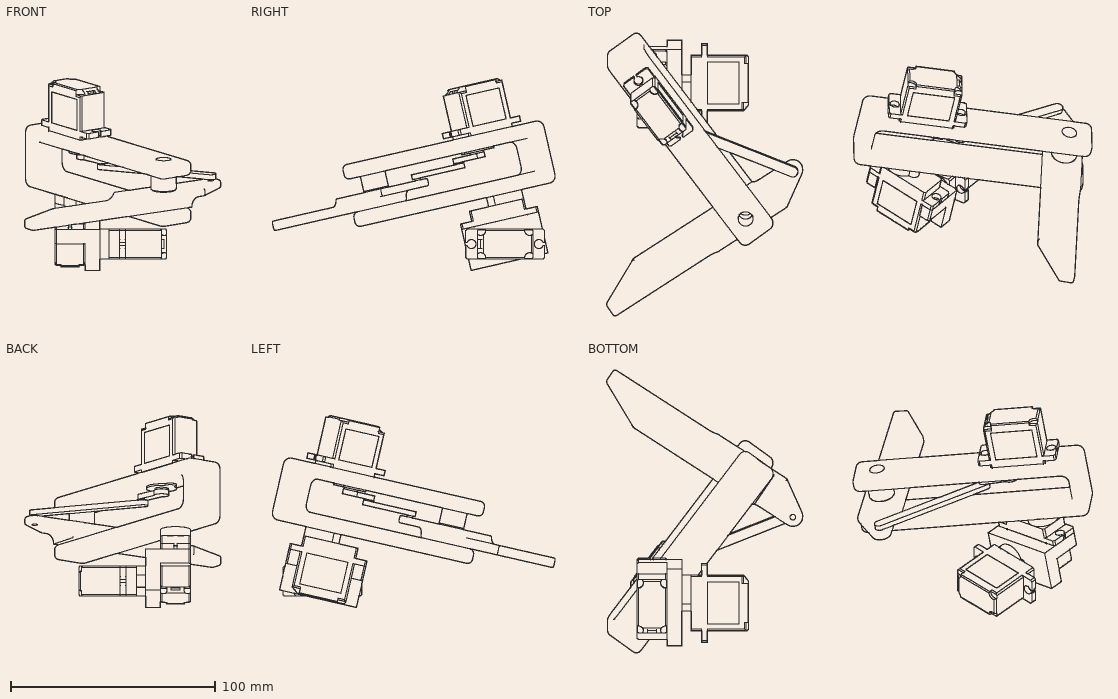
import cadquery as cq
import math


SWING_ANGLE = 12.9
FORK_ANGLE = -53.5
FINGER_ANGLE = 33.5
HORN_ANGLE = -47.0

SERVO_LENGTH = 27.3
SERVO_WIDTH = 14.8
SERVO_HEIGHT = 28.1
SERVO_EDGE = 0.8
COLLAR_LENGTH = 4.6
COLLAR_RADIUS = SERVO_WIDTH / 2
SERVO_CENTER = COLLAR_RADIUS - SERVO_LENGTH / 2
BOSS_RADIUS = 3.0
BOSS_OFFSET = 7.2
SHAFT_RADIUS = 3.3
SHAFT_LENGTH = 0.8
TAB_SPAN = 38.7
TAB_THICKNESS = 2.8
TAB_DROP = 5.1
TAB_HOLE_RADIUS = 2.2
TAB_SLOT = 1.5
BACK_SIDE_INSET = 0.4
BACK_BEVEL_HEIGHT = 2.5
BACK_BEVEL_LENGTH = 3.0
SCREW_RADIUS = 2.5
SCREW_INSET_X = 1.7
SCREW_INSET_Y = 0.7
SCREW_DEPTH = 1.2
CABLE_WIDTH = 4.3
CABLE_HEIGHT = 1.2
CABLE_DEPTH = 1.1
LABEL_LENGTH = 20.7
LABEL_HEIGHT = 15.5
LABEL_DEPTH = 0.1
SERVO_TOP = -COLLAR_LENGTH
TAB_BOTTOM = SERVO_TOP - TAB_DROP - TAB_THICKNESS
SERVO_BACK = SERVO_TOP - SERVO_HEIGHT

BRACKET_THICKNESS = 7.2
BRACKET_SPAN = 38.7
BRACKET_HEIGHT = 20.7
BRACKET_TOP = BRACKET_HEIGHT / 2
TURN_AXIS_Y = -2 * SERVO_CENTER

LEG_THICKNESS = 7.3
FORK_GAP = 16.5
FORK_WIDTH = 19.4
FORK_FRONT = 88.7
FORK_BACK = -25.2
FORK_CORNER = 3.7
FORK_EDGE = 2.5
FORK_FRONT_CORNER = 3.3
FORK_BOTTOM = BRACKET_TOP - TAB_BOTTOM
LOWER_LEG_TOP = FORK_BOTTOM + LEG_THICKNESS
UPPER_LEG_BOTTOM = LOWER_LEG_TOP + FORK_GAP
FORK_TOP = UPPER_LEG_BOTTOM + LEG_THICKNESS
PIVOT_X = 77.1
PIVOT_BOSS_RADIUS = 6.2
PIVOT_BOSS_EDGE = 0.5
PIVOT_HOLE_RADIUS = 3.6
FORK_SERVO_X = 12.0
FORK_SERVO_Y = -0.4
FORK_SERVO_DROP = 0.8
COLLAR_END = UPPER_LEG_BOTTOM - FORK_SERVO_DROP

FINGER_THICKNESS = 8.5
FINGER_HALF_WIDTH = 9.4
FINGER_EDGE = 1.0
TIP_X = -83.3
TIP_WIDTH = 7.2
TIP_BEVEL_X = -59.6
TIP_THICKNESS = 4.9
TIP_CORNER = 1.4
TIP_STEP_X = -28.1
TIP_STEP_RADIUS = 5.0
TAIL_BEVEL_X = 18.0
TAIL_RADIUS = 4.9
TAIL_PIN_X = 30.8
TAIL_THICKNESS = 3.7
TAIL_STEP_X = 11.0
TAIL_STEP_RADIUS = 4.0
FINGER_BOTTOM = LOWER_LEG_TOP
FINGER_TOP = FINGER_BOTTOM + FINGER_THICKNESS
TAIL_PIN_Y = FINGER_HALF_WIDTH - TAIL_RADIUS

BAR_THICKNESS = 2.5
BAR_RADIUS = 2.5
HORN_LENGTH = 13.3
HORN_HUB_RADIUS = 3.6
HORN_LINK_GAP = 0.5
HORN_TOP = COLLAR_END - SHAFT_LENGTH
HORN_BOTTOM = HORN_TOP - BAR_THICKNESS
LINK_TOP = HORN_BOTTOM - HORN_LINK_GAP
LINK_BOTTOM = LINK_TOP - BAR_THICKNESS
PIN_RADIUS = 1.4

UP = (0, 0, 1)
DOWN = (0, 0, -1)


def box(x_range, y_range, z_range):
    """A box between the given limits."""
    sizes = [high - low for low, high in (x_range, y_range, z_range)]
    return cq.Workplane().box(*sizes, centered=False).translate((x_range[0], y_range[0], z_range[0]))


def cylinder(x, y, radius, bottom, top):
    """An upright cylinder."""
    return cq.Workplane().workplane(offset=bottom).center(x, y).circle(radius).extrude(top - bottom)


def turned(point, angle):
    """The point turned about the origin."""
    c = math.cos(math.radians(angle))
    s = math.sin(math.radians(angle))
    return (point[0] * c - point[1] * s, point[0] * s + point[1] * c)


def placed(body, origin, x_direction, normal):
    """The body moved into the given frame."""
    location = cq.Location(cq.Plane(origin=origin, xDir=x_direction, normal=normal))
    return cq.Workplane(body.val().moved(location))


def swung(body):
    """The body turned about the swing axis."""
    return body.rotate((0, 0, 0), (1, 0, 0), SWING_ANGLE)


def servo_tabs():
    """The mounting plate with an open screw hole at each end."""
    tabs = (
        cq.Workplane()
        .workplane(offset=TAB_BOTTOM)
        .center(SERVO_CENTER, 0)
        .rect(TAB_SPAN, SERVO_WIDTH)
        .extrude(TAB_THICKNESS)
        .edges("|Z")
        .chamfer(SERVO_EDGE)
    )
    z_range = (TAB_BOTTOM, TAB_BOTTOM + TAB_THICKNESS)
    for side in (-1, 1):
        hole_x = SERVO_CENTER + side * (TAB_SPAN + SERVO_LENGTH) / 4
        end_x = SERVO_CENTER + side * TAB_SPAN / 2
        tabs = tabs.cut(cylinder(hole_x, 0, TAB_HOLE_RADIUS, *z_range))
        tabs = tabs.cut(box(sorted((hole_x, end_x)), (-TAB_SLOT / 2, TAB_SLOT / 2), z_range))
    return tabs


def servo_case():
    """The case, with a beveled back edge, screw wells in the back corners and a cable opening."""
    shaft_end = SERVO_CENTER + SERVO_LENGTH / 2
    far_end = SERVO_CENTER - SERVO_LENGTH / 2
    case = (
        cq.Workplane()
        .workplane(offset=SERVO_BACK)
        .center(SERVO_CENTER, 0)
        .rect(SERVO_LENGTH, SERVO_WIDTH)
        .extrude(SERVO_HEIGHT)
        .edges("|Z")
        .chamfer(SERVO_EDGE)
        .faces("<Z")
        .edges("|Y and <X")
        .chamfer(SERVO_EDGE)
    )
    bevel = (
        cq.Workplane("XZ", origin=(0, SERVO_WIDTH / 2, 0))
        .moveTo(shaft_end, SERVO_BACK)
        .lineTo(shaft_end - BACK_BEVEL_LENGTH, SERVO_BACK)
        .lineTo(shaft_end, SERVO_BACK + BACK_BEVEL_HEIGHT)
        .close()
        .extrude(SERVO_WIDTH)
    )
    case = case.cut(bevel)
    well_y = SERVO_WIDTH / 2 - SCREW_INSET_Y
    wells = (
        (shaft_end - SCREW_INSET_X, BACK_BEVEL_HEIGHT),
        (far_end + SCREW_INSET_X, SCREW_DEPTH),
    )
    for well_x, depth in wells:
        for y in (-well_y, well_y):
            case = case.cut(cylinder(well_x, y, SCREW_RADIUS, SERVO_BACK, SERVO_BACK + depth))
    back_region = cq.selectors.BoxSelector(
        (far_end, -SERVO_WIDTH, SERVO_BACK - SERVO_EDGE),
        (shaft_end, SERVO_WIDTH, SERVO_BACK + BACK_BEVEL_HEIGHT + SERVO_EDGE),
    )
    side_edges = case.faces("<Y or >Y").edges("|X").edges(back_region)
    case = side_edges.chamfer(SERVO_EDGE, BACK_SIDE_INSET)
    cable_z = SERVO_BACK + BACK_BEVEL_HEIGHT
    cable = box(
        (shaft_end - BACK_BEVEL_LENGTH / 2 - CABLE_DEPTH, shaft_end),
        (-CABLE_WIDTH / 2, CABLE_WIDTH / 2),
        (cable_z - CABLE_HEIGHT, cable_z),
    )
    return case.cut(cable)


def make_servo():
    """A complete servo in its own frame."""
    servo = servo_case().union(servo_tabs())
    servo = servo.union(cylinder(0, 0, COLLAR_RADIUS, SERVO_TOP, 0))
    servo = servo.union(cylinder(-BOSS_OFFSET, 0, BOSS_RADIUS, SERVO_TOP, 0))
    servo = servo.union(cylinder(0, 0, SHAFT_RADIUS, 0, SHAFT_LENGTH))
    half_width = SERVO_WIDTH / 2
    for y_range in ((half_width - LABEL_DEPTH, half_width), (-half_width, LABEL_DEPTH - half_width)):
        label = box(
            (SERVO_CENTER - LABEL_LENGTH / 2, SERVO_CENTER + LABEL_LENGTH / 2),
            y_range,
            (TAB_BOTTOM - LABEL_HEIGHT, TAB_BOTTOM),
        )
        servo = servo.cut(label)
    return servo


def make_bracket(swing_servo):
    """A plate on the swing axis with two arms beside the turning servo."""
    half_servo = SERVO_WIDTH / 2
    middle = TURN_AXIS_Y + SERVO_CENTER
    y_range = (middle - BRACKET_SPAN / 2, middle + BRACKET_SPAN / 2)
    plate = box((half_servo, half_servo + BRACKET_THICKNESS), y_range, (-BRACKET_TOP, BRACKET_TOP))
    arms = box((-half_servo, half_servo), y_range, (BRACKET_TOP - BRACKET_THICKNESS, BRACKET_TOP))
    arms = arms.edges("|Z and <X").chamfer(SERVO_EDGE)
    opening = box(
        (-half_servo, half_servo),
        (middle - SERVO_LENGTH / 2, middle + SERVO_LENGTH / 2),
        (-BRACKET_TOP, BRACKET_TOP),
    )
    return plate.union(arms.cut(opening)).cut(swing_servo)


def make_fork(turn_servo, fork_servo):
    """A U of two legs with a pivot boss under the upper leg, seated on and around the servos."""
    y = FORK_WIDTH / 2
    fork = box((FORK_BACK, FORK_FRONT), (-y, y), (FORK_BOTTOM, FORK_TOP))
    fork = fork.edges("|Y and <X").fillet(FORK_CORNER)
    fork = fork.edges("|Z and >X").fillet(FORK_FRONT_CORNER)
    gap = box((FORK_BACK + LEG_THICKNESS, FORK_FRONT), (-y, y), (LOWER_LEG_TOP, UPPER_LEG_BOTTOM))
    gap = gap.edges("|Y and <X").fillet(FORK_CORNER)
    fork = fork.cut(gap)
    fork = fork.faces("<Y or >Y").edges().fillet(FORK_EDGE)
    boss = cylinder(PIVOT_X, 0, PIVOT_BOSS_RADIUS, FINGER_TOP, UPPER_LEG_BOTTOM)
    fork = fork.union(boss.faces("<Z").chamfer(PIVOT_BOSS_EDGE))
    fork = fork.cut(cylinder(PIVOT_X, 0, PIVOT_HOLE_RADIUS, FINGER_TOP, FORK_TOP))
    return fork.cut(turn_servo).cut(fork_servo)


def finger_outline():
    """The plan of the finger: beveled tip, straight sides and a round tail about the link pin."""
    w = FINGER_HALF_WIDTH
    reach_x = TAIL_PIN_X - TAIL_BEVEL_X
    reach_y = TAIL_PIN_Y + w
    reach = math.hypot(reach_x, reach_y)
    tangent = math.atan2(reach_y, reach_x) - math.asin(TAIL_RADIUS / reach)
    start = tangent - math.pi / 2
    middle = (start + math.pi / 2) / 2

    def tail_point(angle):
        return (TAIL_PIN_X + TAIL_RADIUS * math.cos(angle), TAIL_PIN_Y + TAIL_RADIUS * math.sin(angle))

    return (
        cq.Workplane()
        .workplane(offset=FINGER_BOTTOM)
        .moveTo(TIP_X, -w)
        .lineTo(TAIL_BEVEL_X, -w)
        .lineTo(*tail_point(start))
        .threePointArc(tail_point(middle), (TAIL_PIN_X, w))
        .lineTo(TIP_BEVEL_X, w)
        .lineTo(TIP_X, TIP_WIDTH - w)
        .close()
    )


def rim_edges(finger):
    """The edges all round the upper and lower faces, and the upper edge of the tip step."""
    lengthwise = finger.edges("not (|Y or |Z)").vals()
    tip_end = finger.edges("|Y and <X").vals()
    step_top = finger.edges("|Y and >Z").vals()
    return lengthwise + tip_end + step_top


def make_finger():
    """A plate stepped down on top toward the tip and cut away below the tail."""
    w = FINGER_HALF_WIDTH
    finger = finger_outline().extrude(FINGER_THICKNESS)
    finger = finger.edges("|Z and <X").fillet(TIP_CORNER)
    tip_top = FINGER_BOTTOM + TIP_THICKNESS
    rise = FINGER_TOP - tip_top
    run = math.sqrt(TIP_STEP_RADIUS**2 - (TIP_STEP_RADIUS - rise) ** 2)
    half_sweep = math.asin(run / TIP_STEP_RADIUS) / 2
    tip_step = (
        cq.Workplane("XZ", origin=(0, w, 0))
        .moveTo(TIP_STEP_X, tip_top)
        .threePointArc(
            (
                TIP_STEP_X + TIP_STEP_RADIUS * math.sin(half_sweep),
                tip_top + TIP_STEP_RADIUS * (1 - math.cos(half_sweep)),
            ),
            (TIP_STEP_X + run, FINGER_TOP),
        )
        .lineTo(TIP_X, FINGER_TOP)
        .lineTo(TIP_X, tip_top)
        .close()
        .extrude(2 * w)
    )
    tail_step = box(
        (TAIL_STEP_X, TAIL_PIN_X + TAIL_RADIUS), (-w, w), (FINGER_BOTTOM, FINGER_TOP - TAIL_THICKNESS)
    )
    tail_step = tail_step.edges("|Y and <X and >Z").fillet(TAIL_STEP_RADIUS)
    finger = finger.cut(tip_step).cut(tail_step)
    finger = finger.newObject(rim_edges(finger)).fillet(FINGER_EDGE)
    finger = finger.cut(cylinder(0, 0, PIVOT_HOLE_RADIUS, FINGER_BOTTOM, FINGER_TOP))
    return finger.cut(cylinder(TAIL_PIN_X, TAIL_PIN_Y, PIN_RADIUS, FINGER_TOP - TAIL_THICKNESS, FINGER_TOP))


def bar(start, end, bottom):
    """A flat bar with round ends between two points."""
    length = math.dist(start, end)
    angle = math.degrees(math.atan2(end[1] - start[1], end[0] - start[0]))
    return (
        cq.Workplane()
        .workplane(offset=bottom)
        .center((start[0] + end[0]) / 2, (start[1] + end[1]) / 2)
        .slot2D(length + 2 * BAR_RADIUS, 2 * BAR_RADIUS, angle)
        .extrude(BAR_THICKNESS)
    )


def make_horn(hub, joint):
    """The lever on the fork servo, with a hole for the link."""
    horn = bar(hub, joint, HORN_BOTTOM)
    horn = horn.union(cylinder(*hub, HORN_HUB_RADIUS, HORN_BOTTOM, HORN_TOP))
    return horn.cut(cylinder(*joint, PIN_RADIUS, HORN_BOTTOM, HORN_TOP))


def make_link(joint, tail):
    """The bar from horn to finger, with a pin up into the horn and a pin down into the finger."""
    link = bar(joint, tail, LINK_BOTTOM)
    link = link.union(cylinder(*joint, PIN_RADIUS, LINK_TOP, HORN_TOP))
    return link.union(cylinder(*tail, PIN_RADIUS, FINGER_TOP - TAIL_THICKNESS, LINK_BOTTOM))


turn_axis = (0, TURN_AXIS_Y)
fork_x = (*turned((1, 0), FORK_ANGLE), 0)
pivot = turned((PIVOT_X, 0), FORK_ANGLE)
pivot = (pivot[0], pivot[1] + TURN_AXIS_Y)
hub = turned((FORK_SERVO_X, FORK_SERVO_Y), FORK_ANGLE)
hub = (hub[0], hub[1] + TURN_AXIS_Y)
horn_arm = turned((HORN_LENGTH, 0), HORN_ANGLE)
joint = (hub[0] + horn_arm[0], hub[1] + horn_arm[1])
tail = turned((TAIL_PIN_X, TAIL_PIN_Y), FINGER_ANGLE)
tail = (pivot[0] + tail[0], pivot[1] + tail[1])

plate_outside = SERVO_WIDTH / 2 + BRACKET_THICKNESS
servo = make_servo()
swing_servo = placed(servo, (plate_outside, 0, 0), (0, -1, 0), (-1, 0, 0))
turn_servo = placed(servo, (*turn_axis, FORK_BOTTOM), (0, 1, 0), UP)
fork_servo = placed(servo, (*hub, COLLAR_END), fork_x, DOWN)

bracket = make_bracket(swing_servo)
fork = make_fork(
    placed(servo, (0, 0, FORK_BOTTOM), (1, 0, 0), UP),
    placed(servo, (FORK_SERVO_X, FORK_SERVO_Y, COLLAR_END), (1, 0, 0), DOWN),
)
fork = placed(fork, (*turn_axis, 0), fork_x, UP)
finger = placed(make_finger(), (*pivot, 0), (*turned((1, 0), FINGER_ANGLE), 0), UP)
horn = make_horn(hub, joint)
link = make_link(joint, tail)

moving = [turn_servo, fork_servo, bracket, fork, finger, horn, link]
result = cq.Compound.makeCompound([swing_servo.val(), *(swung(body).val() for body in moving)])